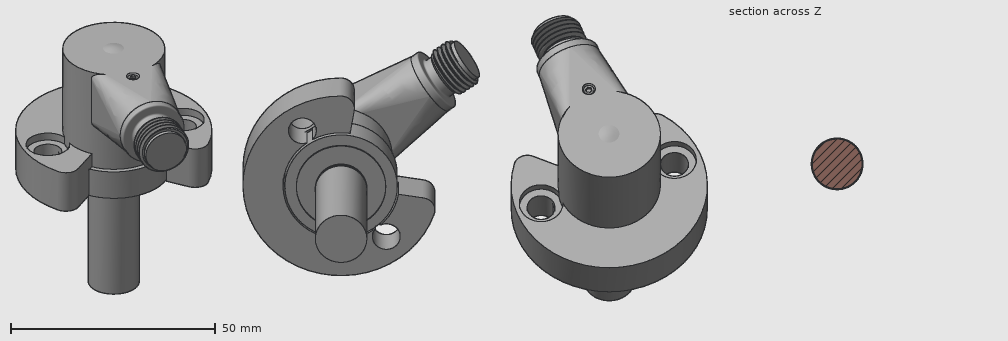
import cadquery as cq
import math

TOTAL_HEIGHT = 66.7
BODY_TOP = 66.3
FLANGE_TOP = 43.1
FLANGE_BOTTOM = 32.1
HUB_TOP = 39.35
HUB_BOTTOM = 31.8
SEAL_BOTTOM = 31.4
STEM_COLLAR_TOP = 30.55
STEM_COLLAR_BOTTOM = 29.9

FLANGE_RADIUS = 24.0
BODY_RADIUS = 12.505
HUB_RADIUS = 13.75
HUB_BORE_RADIUS = 14.2
SEAL_RADIUS = 10.95
NECK_RADIUS = 6.15
STEM_COLLAR_RADIUS = 6.35
STEM_RADIUS = 6.3
DOME_RADIUS = 2.55

NOTCH_HALF_ANGLE = 45.0
NOTCH_TIP_FILLET = 3.35
BOLT_X = 1.0
BOLT_Y = 17.5
BOLT_HOLE_RADIUS = 3.4
COUNTERBORE_RADIUS = 5.35
COUNTERBORE_DEPTH = 2.0

ARM_RADIUS = 8.0
ARM_AXIS_Z = BODY_TOP - ARM_RADIUS
ARM_ROOT_X = 6.7
ARM_ROOT_HALF_WIDTH = 9.1
ARM_ROOT_CORNER = 1.3
ARM_TIP_FLAT = 0.015
COLLAR_START = 26.95
COLLAR_END = 28.95
COLLAR_FILLET = 0.4

PLUG_RADIUS = 5.3
PLUG_END = 38.0
PLUG_ROOT_FILLET = 0.5
THREAD_START = 31.1
THREAD_END = 37.0
THREAD_RADIUS = 6.35
THREAD_PITCH = 1.235
THREAD_CREST = 0.2
THREAD_ROOT_WIDTH = 1.15
THREAD_OVERLAP = 0.1
THREAD_LEAD_IN = 0.95
THREAD_RUN_OUT = 0.4
THREAD_HELIX_START = 30.25
THREAD_TURNS = 6

SCREW_X = 13.95
SCREW_MOUTH_RADIUS = 1.6
SCREW_RADIUS = 1.3
SCREW_RECESS = 0.35
SOCKET_ACROSS_CORNERS = 1.6
SOCKET_DEPTH = 0.7


def disc(radius, bottom, top):
    """Cylinder about the vertical axis between two heights."""
    return cq.Workplane("XY").workplane(offset=bottom).circle(radius).extrude(top - bottom)


def make_flange():
    """Round flange with a V notch towards +X and two counterbored holes.

    The clearance bore for the hub, open at the underside, just breaks into both bolt holes.
    """
    height = FLANGE_TOP - FLANGE_BOTTOM
    reach = 2 * FLANGE_RADIUS
    spread = reach * math.tan(math.radians(NOTCH_HALF_ANGLE))
    notch = (
        cq.Workplane("XY")
        .workplane(offset=FLANGE_BOTTOM)
        .polyline([(0, 0), (reach, -spread), (reach, spread)])
        .close()
        .extrude(height)
    )
    flange = disc(FLANGE_RADIUS, FLANGE_BOTTOM, FLANGE_TOP).cut(notch)
    flange = flange.edges("|Z and (>Y or <Y)").fillet(NOTCH_TIP_FILLET)
    flange = flange.cut(disc(HUB_BORE_RADIUS, FLANGE_BOTTOM, HUB_TOP))
    return (
        flange.faces(">Z")
        .workplane(origin=(0, 0, FLANGE_TOP))
        .pushPoints([(BOLT_X, BOLT_Y), (BOLT_X, -BOLT_Y)])
        .cboreHole(2 * BOLT_HOLE_RADIUS, 2 * COUNTERBORE_RADIUS, COUNTERBORE_DEPTH)
    )


def make_body():
    """Upright body with a shallow dome on top and a wider hub at its foot."""
    rise = TOTAL_HEIGHT - BODY_TOP
    dome = (
        cq.Workplane("XZ")
        .moveTo(0, BODY_TOP)
        .lineTo(DOME_RADIUS, BODY_TOP)
        .radiusArc((0, TOTAL_HEIGHT), -(DOME_RADIUS**2 + rise**2) / (2 * rise))
        .close()
        .revolve(360, (0, 0), (0, 1))
    )
    hub = disc(HUB_RADIUS, HUB_BOTTOM, HUB_TOP)
    return disc(BODY_RADIUS, FLANGE_BOTTOM, BODY_TOP).union(hub).union(dome)


def make_stem():
    """Seal plate, neck, narrow collar and the long stem below the flange."""
    seal = disc(SEAL_RADIUS, SEAL_BOTTOM, FLANGE_BOTTOM)
    neck = disc(NECK_RADIUS, STEM_COLLAR_BOTTOM, FLANGE_BOTTOM)
    collar = disc(STEM_COLLAR_RADIUS, STEM_COLLAR_BOTTOM, STEM_COLLAR_TOP)
    stem = disc(STEM_RADIUS, 0, STEM_COLLAR_BOTTOM)
    return seal.union(neck).union(collar).union(stem)


def rounded_rectangle(x, half_width, half_height, corner):
    """Rounded rectangle wire across the arm axis at the given X."""
    sketch = cq.Sketch().rect(2 * half_width, 2 * half_height).vertices().fillet(corner)
    face = cq.Workplane("YZ", origin=(x, 0, ARM_AXIS_Z)).placeSketch(sketch)
    return face.extrude(0.7).faces("<X").wires().val()


def make_arm():
    """Arm whose flat sides narrow to points where they meet the round collar."""
    root = rounded_rectangle(ARM_ROOT_X, ARM_ROOT_HALF_WIDTH, ARM_RADIUS, ARM_ROOT_CORNER)
    tip = rounded_rectangle(COLLAR_START, ARM_RADIUS, ARM_RADIUS, ARM_RADIUS - ARM_TIP_FLAT)
    return cq.Workplane("XY").add(cq.Solid.makeLoft([root, tip], True))


def make_plug():
    """Round collar and plain plug at the end of the arm, with rounded corners between them."""
    return (
        cq.Workplane("XZ", origin=(0, 0, ARM_AXIS_Z))
        .moveTo(COLLAR_START, 0)
        .lineTo(COLLAR_START, ARM_RADIUS)
        .lineTo(COLLAR_END - COLLAR_FILLET, ARM_RADIUS)
        .radiusArc((COLLAR_END, ARM_RADIUS - COLLAR_FILLET), COLLAR_FILLET)
        .lineTo(COLLAR_END, PLUG_RADIUS + PLUG_ROOT_FILLET)
        .radiusArc((COLLAR_END + PLUG_ROOT_FILLET, PLUG_RADIUS), -PLUG_ROOT_FILLET)
        .lineTo(PLUG_END, PLUG_RADIUS)
        .lineTo(PLUG_END, 0)
        .close()
        .revolve(360, (0, 0), (1, 0))
    )


def make_thread():
    """Right-handed helical ridge, tapered at both ends."""
    base_radius = PLUG_RADIUS - THREAD_OVERLAP
    helix = cq.Wire.makeHelix(THREAD_PITCH, THREAD_PITCH * THREAD_TURNS, base_radius)
    ridge = (
        cq.Workplane("XZ")
        .polyline(
            [
                (base_radius, -THREAD_ROOT_WIDTH / 2),
                (THREAD_RADIUS, -THREAD_CREST / 2),
                (THREAD_RADIUS, THREAD_CREST / 2),
                (base_radius, THREAD_ROOT_WIDTH / 2),
            ]
        )
        .close()
        .sweep(cq.Workplane("XY").add(helix), isFrenet=True)
        .rotate((0, 0, 0), (0, 1, 0), 90)
        .translate((THREAD_HELIX_START, 0, ARM_AXIS_Z))
    )
    envelope = (
        cq.Workplane("XZ", origin=(0, 0, ARM_AXIS_Z))
        .polyline(
            [
                (THREAD_START, 0),
                (THREAD_START, PLUG_RADIUS),
                (THREAD_START + THREAD_LEAD_IN, THREAD_RADIUS + THREAD_OVERLAP),
                (THREAD_END - THREAD_RUN_OUT, THREAD_RADIUS + THREAD_OVERLAP),
                (THREAD_END, THREAD_RADIUS - THREAD_RUN_OUT),
                (THREAD_END, 0),
            ]
        )
        .close()
        .revolve(360, (0, 0), (1, 0))
    )
    return ridge.intersect(envelope)


def make_screw_recess():
    """Countersunk recess with a hexagonal socket in its floor."""
    top = cq.Workplane("XY", origin=(SCREW_X, 0, BODY_TOP))
    mouth = (
        top.circle(SCREW_MOUTH_RADIUS)
        .workplane(offset=-SCREW_RECESS)
        .circle(SCREW_RADIUS)
        .loft(ruled=True)
    )
    socket = top.polygon(6, SOCKET_ACROSS_CORNERS).extrude(-SCREW_RECESS - SOCKET_DEPTH)
    return mouth.union(socket)


result = (
    make_flange()
    .union(make_body())
    .union(make_stem())
    .union(make_arm())
    .union(make_plug())
    .union(make_thread())
    .cut(make_screw_recess())
)